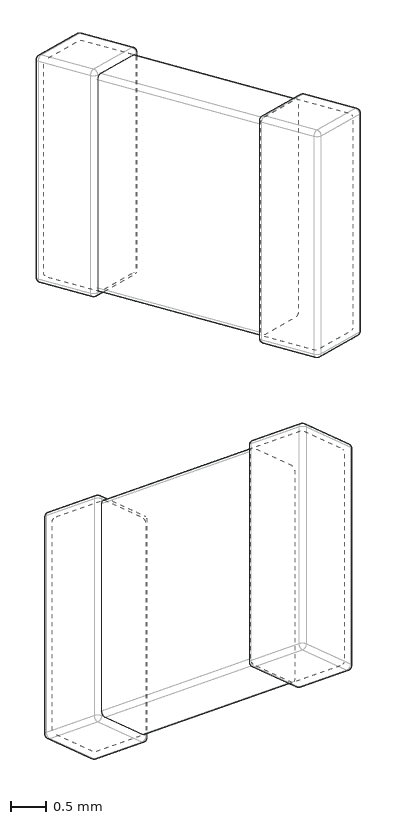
import cadquery as cq

length = 4.9
thickness = 1.1
height = 3.5

cap_length = 1.05
cap_wall = 0.075
edge_radius = 0.075

core_length = length - 2 * cap_wall
core_thickness = thickness - 2 * cap_wall
core_height = height - 2 * cap_wall


def rounded_block(size_x, size_y, size_z):
    """Block centred on the origin with every edge rounded."""
    return cq.Workplane("XY").box(size_x, size_y, size_z).edges().fillet(edge_radius)


def make_core():
    """Ceramic block that runs through both caps."""
    return rounded_block(core_length, core_thickness, core_height)


def make_cap(side):
    """Metal cap on one end of the core; side is -1 or +1 along X."""
    centre_x = side * (length - cap_length) / 2
    shell = rounded_block(cap_length, thickness, height).translate((centre_x, 0, 0))
    return shell.cut(make_core())


core = make_core()
caps = [make_cap(side) for side in (-1, 1)]

result = cq.Compound.makeCompound([core.val(), *[cap.val() for cap in caps]])